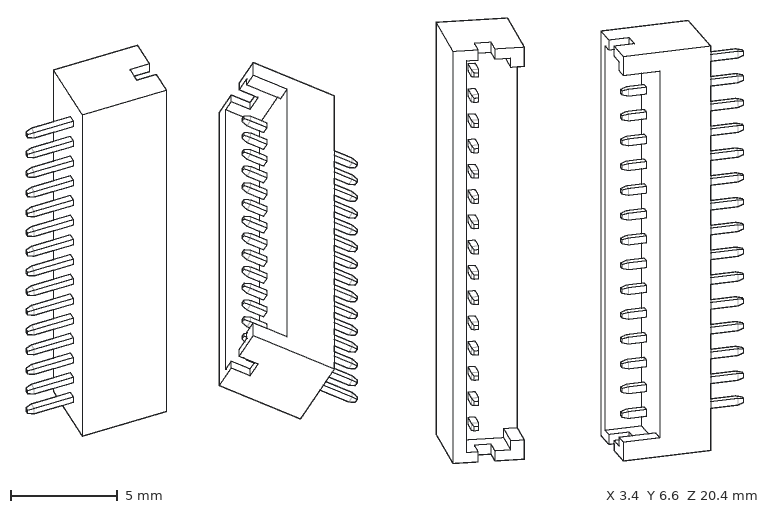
import cadquery as cq

width = 3.4
depth = 4.3
height = 20.4

recess_depth = 1.8
side_wall = 0.65
end_wall = 0.5

window_margin = 0.95

notch_width = 0.8
notch_depth = 1.0
notch_offset = 1.4

pin_count = 15
pin_row_span = 17.5
pin_pitch = pin_row_span / (pin_count - 1)
pin_size = 0.35
pin_offset = 2.18
pin_tail = 2.3
pin_setback = 0.61
tip_length = 0.3
tip_size = 0.2



def box(x_start, x_end, y_start, y_end, z_length):
    """Box between the given X and Y limits, centred on z = 0."""
    return (
        cq.Workplane("XY")
        .box(x_end - x_start, y_end - y_start, z_length, centered=(False, False, True))
        .translate((x_start, y_start, 0))
    )


def make_housing():
    block = box(0, width, 0, depth, height)
    floor_y = depth - recess_depth
    recess = box(side_wall, width - side_wall, floor_y, depth, height - 2 * end_wall)
    window = box(0, side_wall, floor_y, depth, height - 2 * window_margin)
    notch = box(notch_offset, notch_offset + notch_width, depth - notch_depth, depth, height)
    return block.cut(recess).cut(window).cut(notch)


def make_tip(y_base, direction):
    """Tapered pin end growing from y_base along +Y (direction 1) or -Y (direction -1)."""
    base_plane = cq.Plane(origin=(0, y_base, 0), xDir=(1, 0, 0), normal=(0, direction, 0))
    return (
        cq.Workplane(base_plane)
        .rect(pin_size, pin_size)
        .workplane(offset=tip_length)
        .rect(tip_size, tip_size)
        .loft(ruled=True)
    )


def make_pin():
    """One pin with its axis on x = 0, z = 0."""
    shank_start = -pin_tail + tip_length
    shank_end = depth - pin_setback - tip_length
    shank = box(-pin_size / 2, pin_size / 2, shank_start, shank_end, pin_size)
    return shank.union(make_tip(shank_start, -1)).union(make_tip(shank_end, 1))


result = make_housing()
pin = make_pin()
for index in range(pin_count):
    pin_z = -pin_row_span / 2 + index * pin_pitch
    result = result.union(pin.translate((pin_offset, 0, pin_z)))